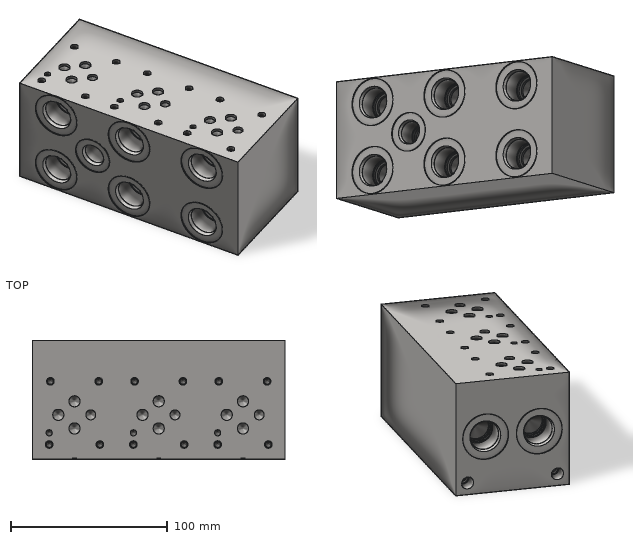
import cadquery as cq
import math

LENGTH = 161.93
WIDTH = 76.2
HEIGHT = 76.2

DRILL_POINT_ANGLE = 118.0

STATION_COUNT = 3
STATION_PITCH = 53.975
FIRST_STATION_X = (LENGTH - (STATION_COUNT - 1) * STATION_PITCH) / 2
STATION_XS = [FIRST_STATION_X + i * STATION_PITCH for i in range(STATION_COUNT)]

SPOTFACE_DEPTH = 0.79
SEAL_CONE_DEPTH = 2.5
THREAD_DEPTH = 16.0
TAP_DRILL_DEPTH = 18.0
PILOT_DEPTH = 20.0

LARGE_PORT = {
    "spotface": 30.63,
    "cone_mouth": 20.6,
    "cone_root": 19.25,
    "thread": 19.05,
    "tap_drill": 17.5,
}
SIDE_PILOT = 14.28
END_PILOT = 15.88

GAUGE_PORT = {
    "spotface": 25.1,
    "cone_mouth": 15.7,
    "cone_root": 14.4,
    "thread": 14.3,
    "tap_drill": 12.9,
}
GAUGE_PILOT = 12.29

PORT_A_Z = 15.875
PORT_B_Z = HEIGHT - PORT_A_Z
GAUGE_X = FIRST_STATION_X + STATION_PITCH / 2
GAUGE_Z = HEIGHT / 2

END_PORT_SPACING = 36.0
PORT_P_Y = 20.1
PORT_T_Y = PORT_P_Y + END_PORT_SPACING
END_PORT_Z = HEIGHT / 2

END_THREAD = 7.92
END_TAP_DRILL = 6.53
END_THREAD_DEPTH = 10.0
END_DRILL_DEPTH = 13.0
END_HOLE_INSET = 7.94

BOLT_THREAD = 4.83
BOLT_TAP_DRILL = 3.79
BOLT_THREAD_DEPTH = 12.0
BOLT_DRILL_DEPTH = 16.0
BOLT_ROW_SPACING = 40.5
FRONT_BOLT_Y = 9.53
REAR_BOLT_Y = FRONT_BOLT_Y + BOLT_ROW_SPACING
FRONT_BOLT_SPACING = 32.5
REAR_BOLT_SPACING = 31.0

VALVE_PORT = 7.14
VALVE_TANK_PORT = 6.35
VALVE_PORT_DEPTH = 1.9
VALVE_PORT_OFFSET_X = 10.4
VALVE_PORT_OFFSET_Y = 8.7
REAR_BOLT_TO_VALVE_CENTRE = 21.5
VALVE_CENTRE_Y = REAR_BOLT_Y - REAR_BOLT_TO_VALVE_CENTRE

PIN_HOLE = 3.96
PIN_DEPTH = 5.0
REAR_BOLT_TO_PIN = 33.0
PIN_Y = REAR_BOLT_Y - REAR_BOLT_TO_PIN

INTO_FRONT = cq.Vector(0, 1, 0)
INTO_END = cq.Vector(1, 0, 0)
INTO_TOP = cq.Vector(0, 0, -1)


def tip_height(diameter):
    """Length of the conical drill point below a hole of this diameter."""
    return diameter / 2 / math.tan(math.radians(DRILL_POINT_ANGLE / 2))


def hole_cutter(steps, position, direction):
    """Revolved cutter from (start diameter, end diameter, end depth) steps, closed by a drill point."""
    outline = [(0, 0)]
    depth = 0
    for start_diameter, end_diameter, end_depth in steps:
        outline.append((start_diameter / 2, depth))
        outline.append((end_diameter / 2, end_depth))
        depth = end_depth
    outline.append((0, depth + tip_height(end_diameter)))
    profile_x = cq.Vector(0, 0, 1) if direction.z == 0 else cq.Vector(1, 0, 0)
    profile_plane = cq.Plane(position, profile_x, profile_x.cross(direction))
    profile = cq.Workplane(profile_plane).polyline(outline).close()
    return profile.revolve(360, (0, 0), (0, 1)).val()


def drilled_hole(diameter, depth, position, direction):
    return hole_cutter([(diameter, diameter, depth)], position, direction)


def tapped_hole(thread, thread_depth, tap_drill, drill_depth, position, direction):
    steps = [
        (thread, thread, thread_depth),
        (tap_drill, tap_drill, drill_depth),
    ]
    return hole_cutter(steps, position, direction)


def oring_port(port, pilot, position, direction):
    steps = [
        (port["spotface"], port["spotface"], SPOTFACE_DEPTH),
        (port["cone_mouth"], port["cone_root"], SPOTFACE_DEPTH + SEAL_CONE_DEPTH),
        (port["thread"], port["thread"], THREAD_DEPTH),
        (port["tap_drill"], port["tap_drill"], TAP_DRILL_DEPTH),
        (pilot, pilot, PILOT_DEPTH),
    ]
    return hole_cutter(steps, position, direction)


def front_ports():
    """A and B ports of every station plus the gauge port, all in the -Y face."""
    ports = [oring_port(GAUGE_PORT, GAUGE_PILOT, (GAUGE_X, 0, GAUGE_Z), INTO_FRONT)]
    for x in STATION_XS:
        for z in (PORT_A_Z, PORT_B_Z):
            ports.append(oring_port(LARGE_PORT, SIDE_PILOT, (x, 0, z), INTO_FRONT))
    return ports


def end_holes():
    """P and T ports and the two tapped mounting holes in the -X face."""
    holes = []
    for y in (PORT_P_Y, PORT_T_Y):
        holes.append(oring_port(LARGE_PORT, END_PILOT, (0, y, END_PORT_Z), INTO_END))
    for y in (END_HOLE_INSET, WIDTH - END_HOLE_INSET):
        position = (0, y, END_HOLE_INSET)
        holes.append(
            tapped_hole(END_THREAD, END_THREAD_DEPTH, END_TAP_DRILL, END_DRILL_DEPTH, position, INTO_END)
        )
    return holes


def valve_station(x):
    """Four bolt holes, four valve ports and a locating pin hole in the top face."""
    holes = []
    for y, spacing in ((FRONT_BOLT_Y, FRONT_BOLT_SPACING), (REAR_BOLT_Y, REAR_BOLT_SPACING)):
        for side in (-1, 1):
            position = (x + side * spacing / 2, y, HEIGHT)
            holes.append(
                tapped_hole(
                    BOLT_THREAD, BOLT_THREAD_DEPTH, BOLT_TAP_DRILL, BOLT_DRILL_DEPTH, position, INTO_TOP
                )
            )

    valve_ports = [
        (VALVE_PORT, 0, VALVE_PORT_OFFSET_Y),
        (VALVE_PORT, 0, -VALVE_PORT_OFFSET_Y),
        (VALVE_PORT, -VALVE_PORT_OFFSET_X, 0),
        (VALVE_TANK_PORT, VALVE_PORT_OFFSET_X, 0),
    ]
    for diameter, offset_x, offset_y in valve_ports:
        position = (x + offset_x, VALVE_CENTRE_Y + offset_y, HEIGHT)
        holes.append(drilled_hole(diameter, VALVE_PORT_DEPTH, position, INTO_TOP))

    pin_position = (x - FRONT_BOLT_SPACING / 2, PIN_Y, HEIGHT)
    holes.append(drilled_hole(PIN_HOLE, PIN_DEPTH, pin_position, INTO_TOP))
    return holes


cutters = front_ports() + end_holes()
for station_x in STATION_XS:
    cutters += valve_station(station_x)

block = cq.Workplane("XY").box(LENGTH, WIDTH, HEIGHT, centered=False)
result = cq.Workplane(block.val().cut(*cutters))